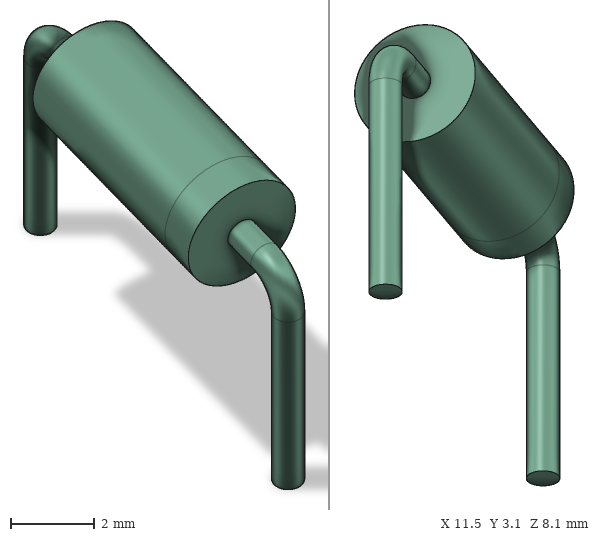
import cadquery as cq

overall_length = 11.5
overall_height = 8.1
body_diameter = 3.1
body_length = 6.7
band_width = 1.0
wire_diameter = 0.8
bend_radius = 1.0

body_radius = body_diameter / 2
wire_radius = wire_diameter / 2
body_end_x = body_length / 2
band_start_x = body_end_x - band_width
lead_x = overall_length / 2 - wire_radius
lead_end_z = body_radius - overall_height
bend_start_x = lead_x - bend_radius


def cylinder_along_x(start_x, length):
    """Body section centred on the X axis."""
    return cq.Workplane("YZ", origin=(start_x, 0, 0)).circle(body_radius).extrude(length)


def bent_lead(side):
    """Wire leaving one end face of the body and bending down; side is -1 or +1."""
    centreline = (
        cq.Workplane("XZ")
        .moveTo(side * body_end_x, 0)
        .lineTo(side * bend_start_x, 0)
        .tangentArcPoint((side * lead_x, -bend_radius), relative=False)
        .lineTo(side * lead_x, lead_end_z)
    )
    return (
        cq.Workplane("YZ", origin=(side * body_end_x, 0, 0))
        .circle(wire_radius)
        .sweep(centreline)
    )


main_body = cylinder_along_x(-body_end_x, body_length - band_width)
band = cylinder_along_x(band_start_x, band_width)
result = main_body.union(band, clean=False)

for side in (-1, 1):
    result = result.union(bent_lead(side), clean=False)